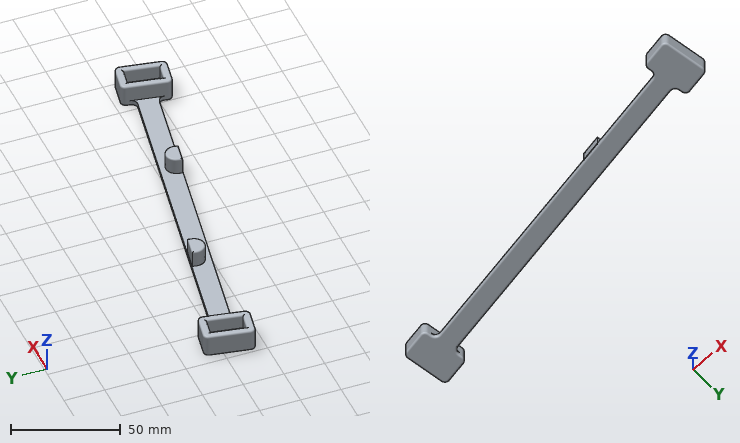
import cadquery as cq

tilt = -10.0
cup_spacing = 181.7
height = 11.0

cup_width = 15.6
cup_length = 24.3
cup_corner_radius = 2.5
cup_wall = 3.8
cup_floor = 4.0
edge_round = 1.0

bar_width = 10.0
bar_thickness = 3.0
joint_radius = 3.0

post_radius = 5.1
post_depth = 7.1
post_inset = 0.2
post_edge_round = 0.8
post_offset = 33.0


cup_centres = [(-cup_spacing / 2, 0), (cup_spacing / 2, 0)]
margin = 0.2


def cup_blocks():
    """Both cups, still solid, with rounded upright corners."""
    return (
        cq.Workplane("XY")
        .pushPoints(cup_centres)
        .rect(cup_width, cup_length)
        .extrude(height)
        .edges("|Z")
        .fillet(cup_corner_radius)
    )


def cup_cavities():
    """Square-cornered pockets, open at the top of the cups."""
    return (
        cq.Workplane("XY", origin=(0, 0, cup_floor))
        .pushPoints(cup_centres)
        .rect(cup_width - 2 * cup_wall, cup_length - 2 * cup_wall)
        .extrude(height - cup_floor)
    )


def bar_with_cups():
    """Bar and both cups as one solid, with rounded joints and rims."""
    bar = cq.Workplane("XY").box(cup_spacing, bar_width, bar_thickness, centered=(True, True, False))
    joint_x = cup_spacing / 2 - cup_width / 2
    joints = cq.selectors.BoxSelector(
        (-joint_x - margin, -bar_width / 2 - margin, 0),
        (joint_x + margin, bar_width / 2 + margin, bar_thickness),
    )
    body = bar.union(cup_blocks())
    body = body.edges("|Z").edges(joints).fillet(joint_radius)
    body = body.cut(cup_cavities())
    return body.faces("<Z or >Z").edges().fillet(edge_round)


def post():
    """One D-shaped post, its flat on the +Y side of the bar."""
    flat_y = bar_width / 2 - post_inset
    straight_end_y = flat_y - post_depth + post_radius
    return (
        cq.Workplane("XY", origin=(-post_offset, 0, bar_thickness))
        .moveTo(-post_radius, flat_y)
        .lineTo(-post_radius, straight_end_y)
        .threePointArc((0, flat_y - post_depth), (post_radius, straight_end_y))
        .lineTo(post_radius, flat_y)
        .close()
        .extrude(height - bar_thickness)
        .faces(">Z")
        .edges()
        .fillet(post_edge_round)
    )


left_post = post()
right_post = left_post.rotate((0, 0, 0), (0, 0, 1), 180)
part = bar_with_cups().union(left_post).union(right_post)
result = part.rotate((0, 0, 0), (0, 0, 1), tilt)